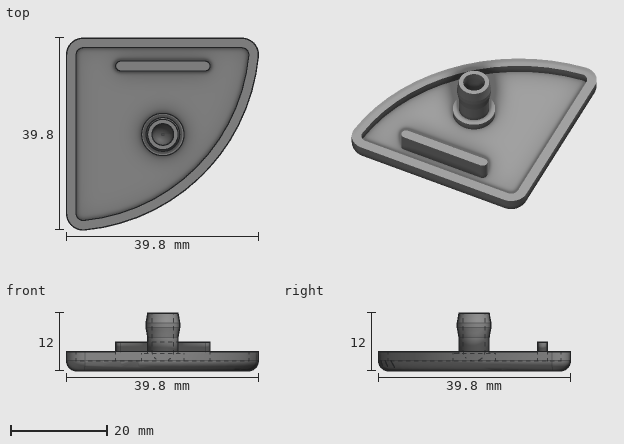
import cadquery as cq
import math

sector_radius = 40.0
corner_radius = 3.5
tray_height = 4.0
wall = 2.0
floor_z = 2.1
bottom_fillet = 2.2

stud_x = sector_radius / 2
stud_y = -sector_radius / 2
collar_radius = 4.4
collar_top = 3.6
shank_radius = 3.15
bulge_radius = 3.5
bulge_bottom = 7.0
band_bottom = 9.0
band_top = 10.0
stud_top = 12.0
bore_radius = 2.25
bore_fillet = 2.0

rib_length = 19.6
rib_width = 2.0
rib_top = 6.0
rib_y = -5.8


def rounded_sector(inset, bottom, top):
    """Quarter disc with rounded corners, its outline moved inward by inset."""
    rim = sector_radius - inset
    rounding = corner_radius - inset
    near = corner_radius
    far = math.sqrt((rim - rounding) ** 2 - near ** 2)
    reach = rim / (rim - rounding)
    tangent_near = near * reach
    tangent_far = far * reach
    half = math.sqrt(0.5)
    middle_angle = (math.pi / 2 - math.atan2(near, far)) / 2
    middle_near = near - rounding * math.sin(middle_angle)
    middle_far = far + rounding * math.cos(middle_angle)
    corner_middle = near - rounding * half
    return (
        cq.Workplane("XY", origin=(0, 0, bottom))
        .moveTo(near, -inset)
        .lineTo(far, -inset)
        .threePointArc((middle_far, -middle_near), (tangent_far, -tangent_near))
        .threePointArc((rim * half, -rim * half), (tangent_near, -tangent_far))
        .threePointArc((middle_near, -middle_far), (inset, -far))
        .lineTo(inset, -near)
        .threePointArc((corner_middle, -corner_middle), (near, -inset))
        .close()
        .extrude(top - bottom)
    )


def make_tray():
    body = rounded_sector(0, 0, tray_height).faces("<Z").edges().fillet(bottom_fillet)
    return body.cut(rounded_sector(wall, floor_z, tray_height))


def make_stud():
    """Collar, shank and bulged snap head, turned about the stud axis."""
    return (
        cq.Workplane("XZ", origin=(stud_x, stud_y, 0))
        .moveTo(0, floor_z)
        .lineTo(collar_radius, floor_z)
        .lineTo(collar_radius, collar_top)
        .lineTo(shank_radius, collar_top)
        .lineTo(shank_radius, bulge_bottom)
        .lineTo(bulge_radius, band_bottom)
        .lineTo(bulge_radius, band_top)
        .lineTo(shank_radius, stud_top)
        .lineTo(0, stud_top)
        .close()
        .revolve(360, (0, 0, 0), (0, 1, 0))
    )


def make_bore():
    """Blind bore from the stud top down to the tray floor, with a rounded bottom."""
    bore = (
        cq.Workplane("XY", origin=(stud_x, stud_y, floor_z))
        .circle(bore_radius)
        .extrude(stud_top - floor_z)
    )
    return bore.faces("<Z").edges().fillet(bore_fillet)


def make_rib():
    return (
        cq.Workplane("XY", origin=(stud_x, rib_y, floor_z))
        .slot2D(rib_length, rib_width)
        .extrude(rib_top - floor_z)
    )


result = make_tray().union(make_stud()).union(make_rib()).cut(make_bore())